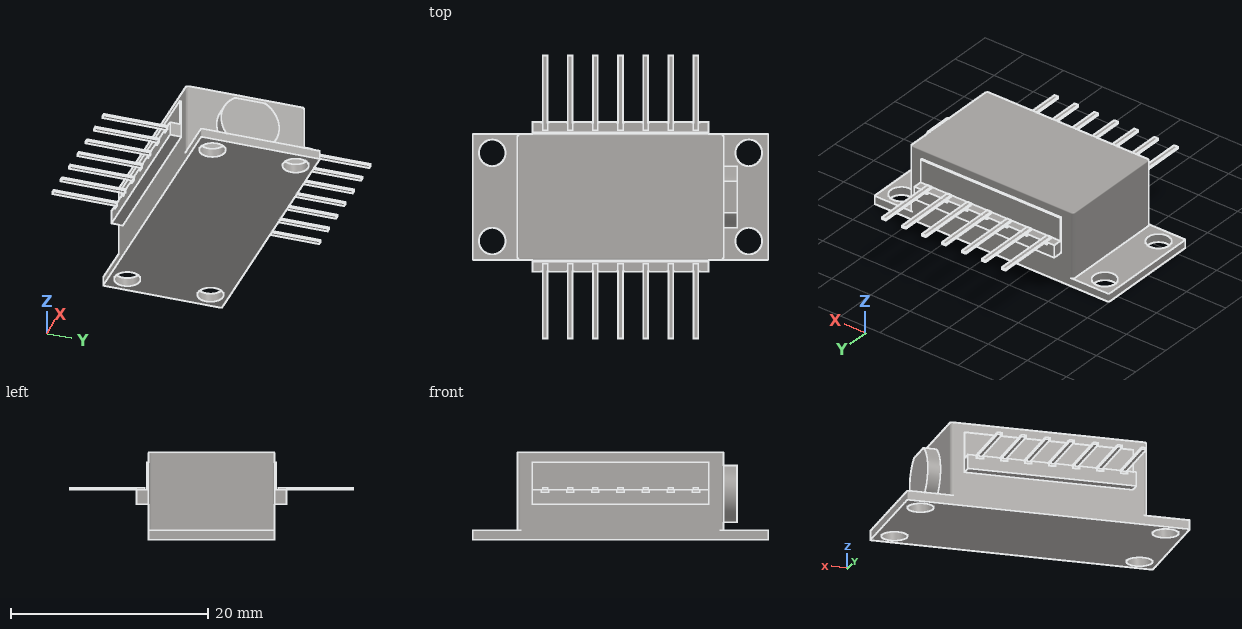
import cadquery as cq

base_length = 30.0
base_width = 12.78
base_thickness = 1.0
base_corner_radius = 0.1
mount_hole_diameter = 2.67
mount_hole_spacing_x = 26.0
mount_hole_spacing_y = 8.95

housing_length = 20.9
overall_height = 8.9
housing_corner_radius = 0.33
housing_top_radius = 0.15

block_length = 17.88
block_bottom = 3.6
panel_top = 7.85
panel_span = 13.15
ledge_top = 5.1
ledge_span = 15.2

pin_count = 7
pin_pitch = 2.55
pin_width = 0.5
pin_thickness = 0.2
pin_tip_span = 28.7
pin_root_span = 13.53
notch_width = 0.72
notch_depth = 0.1
notch_height = 0.27

port_diameter = 6.25
port_center_height = 4.9
port_flat_height = 7.55
port_end = 11.82


def block(x_size, y_range, z_range, x_center=0.0):
    """Box centred on x_center in X, between the given Y and Z limits."""
    y_min, y_max = y_range
    z_min, z_max = z_range
    return (
        cq.Workplane("XY")
        .box(x_size, y_max - y_min, z_max - z_min, centered=(True, False, False))
        .translate((x_center, y_min, z_min))
    )


def make_base():
    return (
        cq.Workplane("XY")
        .box(base_length, base_width, base_thickness, centered=(True, True, False))
        .edges("|Z")
        .fillet(base_corner_radius)
        .faces(">Z")
        .workplane()
        .rect(mount_hole_spacing_x, mount_hole_spacing_y, forConstruction=True)
        .vertices()
        .hole(mount_hole_diameter)
    )


def make_housing():
    half_width = base_width / 2
    return (
        block(housing_length, (-half_width, half_width), (base_thickness, overall_height))
        .edges("|Z")
        .fillet(housing_corner_radius)
        .faces(">Z")
        .edges()
        .fillet(housing_top_radius)
    )


def make_port():
    """Boss starting inside the housing, trimmed flat on top."""
    radius = port_diameter / 2
    port = cq.Workplane("YZ").center(0, port_center_height).circle(radius).extrude(port_end)
    port_bottom = port_center_height - radius
    return port.intersect(block(2 * port_end, (-radius, radius), (port_bottom, port_flat_height)))


def make_terminal_side():
    """Panel, notched ledge and row of pins on the +Y side."""
    ledge_edge = ledge_span / 2
    panel = block(block_length, (0, panel_span / 2), (block_bottom, panel_top))
    side = panel.union(block(block_length, (0, ledge_edge), (block_bottom, ledge_top)))
    for index in range(pin_count):
        x = (index - (pin_count - 1) / 2) * pin_pitch
        notch = block(
            notch_width, (ledge_edge - notch_depth, ledge_edge), (ledge_top - notch_height, ledge_top), x
        )
        pin = block(
            pin_width, (pin_root_span / 2, pin_tip_span / 2), (ledge_top, ledge_top + pin_thickness), x
        )
        side = side.cut(notch).union(pin)
    return side


terminal_side = make_terminal_side()
result = (
    make_base()
    .union(make_housing())
    .union(make_port())
    .union(terminal_side)
    .union(terminal_side.mirror("XZ"))
)